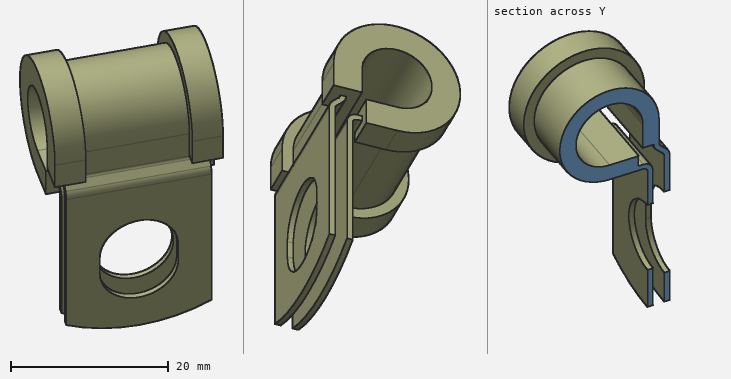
import cadquery as cq
import math


bore_radius = 4.75
liner_thickness = 1.58
flange_height = 1.5
cushion_width = 22.1
flange_width = 4.05
lower_end_x = 4.18
upper_end_z = -3.75

strap_thickness = 0.8
strap_width = 19.1
leg_gap = 1.6
bend_radius = 0.6
jog_angle = math.radians(45)
tip_z = -29.33
tip_crown = 2.12
hole_diameter = 10.3
slot_length = 12.84
hole_z = -18.22

strap_inner_radius = bore_radius + liner_thickness
strap_outer_radius = strap_inner_radius + strap_thickness
flange_radius = strap_outer_radius + flange_height
outer_bend_radius = bend_radius + strap_thickness
outer_leg_x = flange_radius - strap_thickness
inner_leg_x = outer_leg_x - leg_gap - strap_thickness


def extrude_along_y(outline, width, center_y=0):
    """Extrude an XZ outline to a width centred on center_y."""
    return outline.extrude(width / 2, both=True).translate((0, center_y, 0))


def wrap(outer_radius, width, center_y=0):
    """Three-quarter ring around the bore with a straight tail at each end."""
    diagonal = math.sqrt(0.5)
    outline = (
        cq.Workplane("XZ")
        .moveTo(lower_end_x, -outer_radius)
        .lineTo(0, -outer_radius)
        .threePointArc((-outer_radius * diagonal, outer_radius * diagonal), (outer_radius, 0))
        .lineTo(outer_radius, upper_end_z)
        .lineTo(bore_radius, upper_end_z)
        .lineTo(bore_radius, 0)
        .threePointArc((-bore_radius * diagonal, bore_radius * diagonal), (0, -bore_radius))
        .lineTo(lower_end_x, -bore_radius)
        .close()
    )
    return extrude_along_y(outline, width, center_y)


def make_cushion():
    """Wrapped liner and strap with a raised flange at each end."""
    cushion = wrap(strap_outer_radius, cushion_width)
    flange_center_y = (cushion_width - flange_width) / 2
    for side in (-1, 1):
        cushion = cushion.union(wrap(flange_radius, flange_width, side * flange_center_y))
    return cushion


def make_inner_leg():
    """Leg that leaves the lower tail along +X and bends a quarter turn down."""
    far_x = inner_leg_x + strap_thickness
    bend_x = inner_leg_x - bend_radius
    bend_z = -strap_outer_radius - bend_radius
    outline = (
        cq.Workplane("XZ")
        .moveTo(lower_end_x, -strap_inner_radius)
        .lineTo(bend_x, -strap_inner_radius)
        .radiusArc((far_x, bend_z), outer_bend_radius)
        .lineTo(far_x, tip_z)
        .lineTo(inner_leg_x, tip_z)
        .lineTo(inner_leg_x, bend_z)
        .radiusArc((bend_x, -strap_outer_radius), -bend_radius)
        .lineTo(lower_end_x, -strap_outer_radius)
        .close()
    )
    return extrude_along_y(outline, strap_width)


def make_outer_leg():
    """Leg that leaves the upper tail downward and jogs outward to the flange radius."""
    far_x = outer_leg_x + strap_thickness
    jog_offset = outer_leg_x - strap_inner_radius
    rise = math.sin(jog_angle)
    run = 1 - math.cos(jog_angle)
    bend_radii = bend_radius + outer_bend_radius
    slant_height = (jog_offset - bend_radii * run) / math.tan(jog_angle)
    jog_bottom_z = upper_end_z - bend_radii * rise - slant_height
    outline = (
        cq.Workplane("XZ")
        .moveTo(strap_outer_radius, upper_end_z)
        .radiusArc((strap_outer_radius + bend_radius * run, upper_end_z - bend_radius * rise), -bend_radius)
        .lineTo(far_x - outer_bend_radius * run, jog_bottom_z + outer_bend_radius * rise)
        .radiusArc((far_x, jog_bottom_z), outer_bend_radius)
        .lineTo(far_x, tip_z)
        .lineTo(outer_leg_x, tip_z)
        .lineTo(outer_leg_x, jog_bottom_z)
        .radiusArc((outer_leg_x - bend_radius * run, jog_bottom_z + bend_radius * rise), -bend_radius)
        .lineTo(strap_inner_radius + outer_bend_radius * run, upper_end_z - outer_bend_radius * rise)
        .radiusArc((strap_inner_radius, upper_end_z), outer_bend_radius)
        .close()
    )
    return extrude_along_y(outline, strap_width)


def make_leg_profile():
    """Prism along X holding the shape shared by both legs: straight sides and a rounded tip."""
    half_width = strap_width / 2
    corner_z = tip_z + tip_crown
    return (
        cq.Workplane("YZ")
        .moveTo(-half_width, 0)
        .lineTo(-half_width, corner_z)
        .threePointArc((0, tip_z), (half_width, corner_z))
        .lineTo(half_width, 0)
        .close()
        .extrude(flange_radius)
    )


def make_inner_leg_hole():
    """Round mounting hole through the inner leg."""
    return (
        cq.Workplane("YZ", origin=(inner_leg_x, 0, hole_z))
        .circle(hole_diameter / 2)
        .extrude(strap_thickness)
    )


def make_outer_leg_slot():
    """Vertical mounting slot through the outer leg, centred on the round hole."""
    return (
        cq.Workplane("YZ", origin=(outer_leg_x, 0, hole_z))
        .slot2D(slot_length, hole_diameter, 90)
        .extrude(strap_thickness)
    )


leg_profile = make_leg_profile()
inner_leg = make_inner_leg().intersect(leg_profile).cut(make_inner_leg_hole())
outer_leg = make_outer_leg().intersect(leg_profile).cut(make_outer_leg_slot())
result = make_cushion().union(inner_leg).union(outer_leg)